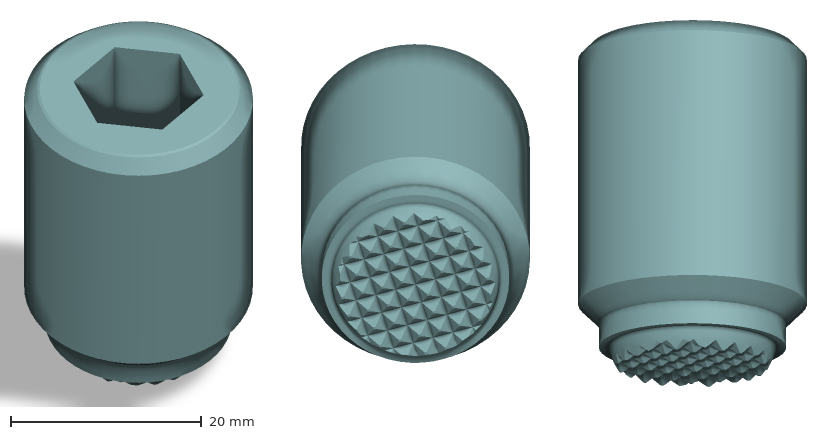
import cadquery as cq
import math

total_height = 35.0

body_radius = 12.0
nose_radius = 9.85
nose_bottom = 2.25
nose_length = 2.5
shoulder_height = body_radius - nose_radius
rim_radius = 10.65
top_chamfer = body_radius - rim_radius
crown_inset = 0.28
crown_height = 0.15

hex_across_flats = 11.97
hex_depth = 11.97
drill_point_angle = 118.0

ball_radius = 9.2
ball_center_height = 4.8
tooth_pitch = 2.17
tooth_depth = 0.95
outermost_groove = 3


def make_housing_blank():
    """Turned outer shape of the housing."""
    nose_top = nose_bottom + nose_length
    rim_height = total_height - crown_height
    return (
        cq.Workplane("XZ")
        .moveTo(0, nose_bottom)
        .lineTo(nose_radius, nose_bottom)
        .lineTo(nose_radius, nose_top)
        .lineTo(body_radius, nose_top + shoulder_height)
        .lineTo(body_radius, rim_height - top_chamfer)
        .lineTo(rim_radius, rim_height)
        .lineTo(rim_radius - crown_inset, total_height)
        .lineTo(0, total_height)
        .close()
        .revolve(360, (0, 0, 0), (0, 1, 0))
    )


def make_hex_socket():
    """Hexagonal key socket, corners on the X axis, ending in a cone."""
    corner_radius = hex_across_flats / math.sqrt(3)
    cone_height = corner_radius / math.tan(math.radians(drill_point_angle / 2))
    prism = (
        cq.Workplane("XY", origin=(0, 0, total_height))
        .polygon(6, 2 * corner_radius)
        .extrude(-(hex_depth + cone_height))
    )
    floor_height = total_height - hex_depth
    drill = (
        cq.Workplane("XZ")
        .moveTo(0, floor_height - cone_height)
        .lineTo(corner_radius, floor_height)
        .lineTo(corner_radius, total_height)
        .lineTo(0, total_height)
        .close()
        .revolve(360, (0, 0, 0), (0, 1, 0))
    )
    return prism.intersect(drill)


def make_sphere():
    """Full ball, which also shapes the seat it turns in."""
    return cq.Workplane("XY").sphere(ball_radius).translate((0, 0, ball_center_height))


def make_groove():
    """90 degree V groove along Y, opening at Z = 0."""
    return (
        cq.Workplane("XZ", origin=(0, ball_radius, 0))
        .moveTo(-tooth_depth, 0)
        .lineTo(0, tooth_depth)
        .lineTo(tooth_depth, 0)
        .close()
        .extrude(2 * ball_radius)
    )


def make_gripper_ball():
    """Ball with a flat face of pyramid teeth."""
    below_flat = cq.Workplane("XY").box(
        2 * ball_radius, 2 * ball_radius, 2 * ball_radius, centered=(True, True, False)
    ).translate((0, 0, -2 * ball_radius))
    ball = make_sphere().cut(below_flat)
    groove = make_groove()
    for index in range(-outermost_groove, outermost_groove + 1):
        along_y = groove.translate((index * tooth_pitch, 0, 0))
        along_x = along_y.rotate((0, 0, 0), (0, 0, 1), 90)
        ball = ball.cut(along_y).cut(along_x)
    return ball


housing = make_housing_blank().cut(make_hex_socket()).cut(make_sphere())
gripper_ball = make_gripper_ball()

result = cq.Compound.makeCompound([*housing.solids().vals(), *gripper_ball.solids().vals()])